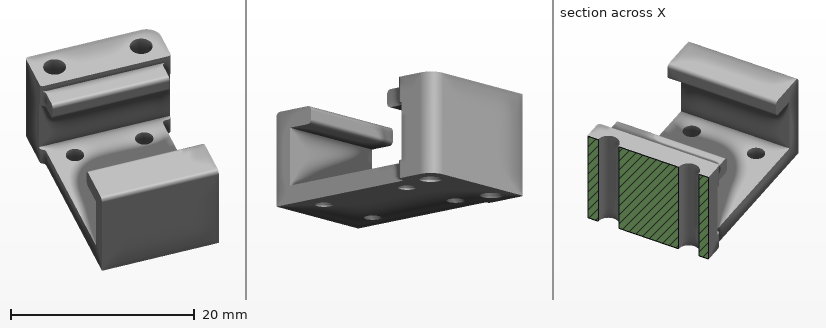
import cadquery as cq
import math

length = 23.5
depth = 15.09
height = 11.35

block_width = 5.0
front_corner_radius = 0.33
back_corner_radius = 1.7
junction_radius = 0.4
block_hole_diameter = 2.5
block_hole_inset = 2.5
block_hole_pitch = 9.99

channel_front = 0.5
channel_depth = 13.5
channel_height = 10.53
channel_back = channel_front + channel_depth
floor_thickness = 2.05
lip_thickness = 2.02
wall_thickness = 2.0
cavity_left = 4.5
cavity_right = length - wall_thickness
cavity_center = (cavity_left + cavity_right) / 2
lip_gap = 10.97
edge_radius = 0.5

floor_hole_diameter = 2.0
floor_hole_pitch_x = 11.98
floor_hole_pitch_y = 8.0


def arc_point(center, angle):
    """Point at an angle in degrees on a junction arc."""
    turn = math.radians(angle)
    return (center[0] + junction_radius * math.cos(turn), center[1] + junction_radius * math.sin(turn))


def plan_outline():
    """Plan of block and channel, blended by S-curves at both side junctions."""
    r = junction_radius
    inner_front = (block_width + r, channel_front - r)
    inner_back = (block_width + r, channel_back + r)
    outer_back = (block_width - r, depth - r)

    rise = r - inner_front[1]
    run = math.sqrt((2 * r) ** 2 - rise ** 2)
    outer_front = (inner_front[0] - run, r)
    meeting_angle = -math.degrees(math.atan2(rise, run))

    return (
        cq.Workplane("XY")
        .moveTo(0, 0)
        .lineTo(outer_front[0], 0)
        .threePointArc(arc_point(outer_front, (meeting_angle - 90) / 2), arc_point(outer_front, meeting_angle))
        .threePointArc(arc_point(inner_front, 135 + meeting_angle / 2), arc_point(inner_front, 90))
        .lineTo(length, channel_front)
        .lineTo(length, channel_back)
        .lineTo(inner_back[0], channel_back)
        .threePointArc(arc_point(inner_back, 225), arc_point(inner_back, 180))
        .lineTo(block_width, outer_back[1])
        .threePointArc(arc_point(outer_back, 45), arc_point(outer_back, 90))
        .lineTo(0, depth)
        .close()
    )


def box(x_min, x_max, z_min, z_max):
    """Box spanning the full depth of the part."""
    return cq.Workplane("XY").box(x_max - x_min, depth, z_max - z_min, centered=False).translate((x_min, 0, z_min))


def side_profile():
    """Side profile of block, floor, wall and lips, extended over the full depth."""
    channel = box(0, length, 0, channel_height)
    lip_bottom = channel_height - lip_thickness
    cavity = box(cavity_left, cavity_right, floor_thickness, lip_bottom)
    opening = box(cavity_center - lip_gap / 2, cavity_center + lip_gap / 2, lip_bottom, channel_height)
    channel = channel.cut(cavity).cut(opening)

    lip_edges = cq.selectors.BoxSelector(
        (cavity_center - lip_gap / 2 - edge_radius, -depth, lip_bottom - edge_radius),
        (cavity_center + lip_gap / 2 + edge_radius, 2 * depth, height),
    )
    channel = channel.edges("|Y").edges(lip_edges).fillet(edge_radius)
    channel = channel.edges("|Y and >X and >Z").fillet(edge_radius)
    return channel.union(box(0, block_width, channel_height, height))


def hole(x, y, diameter):
    """Vertical drill running through the full height."""
    return cq.Workplane("XY").center(x, y).circle(diameter / 2).extrude(height)


def round_block_corners(body):
    """Round the two outer vertical corners of the mounting block."""
    body = body.edges("|Z and <X and <Y").fillet(front_corner_radius)
    return body.edges("|Z and <X and >Y").fillet(back_corner_radius)


plan = round_block_corners(plan_outline().extrude(height))
result = plan.intersect(side_profile())

for row in range(2):
    block_hole_y = block_hole_inset + row * block_hole_pitch
    result = result.cut(hole(block_width / 2, block_hole_y, block_hole_diameter))

channel_center_y = channel_front + channel_depth / 2
for side_x in (-1, 1):
    for side_y in (-1, 1):
        floor_hole = hole(
            cavity_center + side_x * floor_hole_pitch_x / 2,
            channel_center_y + side_y * floor_hole_pitch_y / 2,
            floor_hole_diameter,
        )
        result = result.cut(floor_hole.intersect(box(0, length, 0, floor_thickness)))